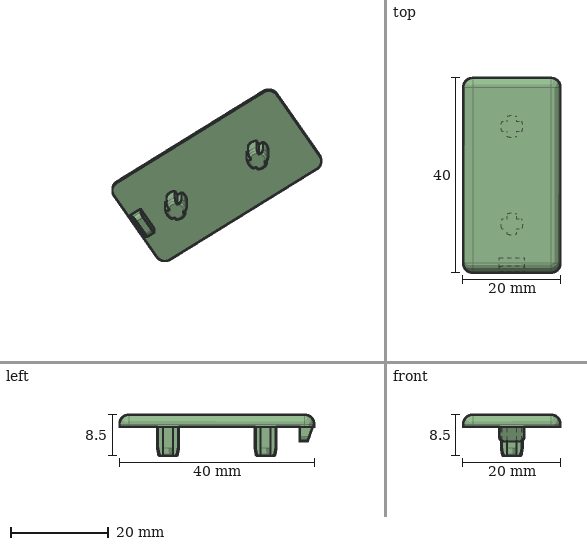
import cadquery as cq
import math

PLATE_WIDTH = 20.0
PLATE_LENGTH = 40.0
PLATE_THICKNESS = 2.5
PLATE_ROUNDING = 2.0

PEG_RADIUS = 2.25
PEG_LENGTH = 6.0
PEG_ARM_WIDTH = 2.0
PEG_STRAIGHT_LENGTH = 4.4
PEG_TAPER_ANGLE = 10.0
PEG_TIP_ROUNDING = 0.5
PEG_SPACING = 20.0

HOOK_WIDTH = 5.2
HOOK_HEIGHT = 3.0
HOOK_CORNER_RADIUS = 1.0
HOOK_INNER_Y = -17.0
HOOK_ROOT_DEPTH = 2.7
HOOK_OUTER_SLOPE_ANGLE = 20.0


def make_plate():
    """Slab whose vertical and upper edges share one rounding, giving ball corners."""
    slab = cq.Workplane("XY").box(
        PLATE_WIDTH, PLATE_LENGTH, PLATE_THICKNESS, centered=(True, True, False)
    )
    return slab.edges("|Z or >Z").fillet(PLATE_ROUNDING)


def make_peg():
    """Round peg with a tapered, rounded tip, cut down to four arms."""
    taper_length = PEG_LENGTH - PEG_STRAIGHT_LENGTH
    tip_radius = PEG_RADIUS - taper_length * math.tan(math.radians(PEG_TAPER_ANGLE))
    round_peg = (
        cq.Workplane("XZ")
        .lineTo(PEG_RADIUS, 0)
        .lineTo(PEG_RADIUS, -PEG_STRAIGHT_LENGTH)
        .lineTo(tip_radius, -PEG_LENGTH)
        .lineTo(0, -PEG_LENGTH)
        .close()
        .revolve(360, (0, 0), (0, 1))
        .faces("<Z")
        .edges()
        .fillet(PEG_TIP_ROUNDING)
    )
    peg_diameter = 2 * PEG_RADIUS
    cross = (
        cq.Workplane("XY")
        .rect(peg_diameter, PEG_ARM_WIDTH)
        .extrude(-PEG_LENGTH)
        .union(cq.Workplane("XY").rect(PEG_ARM_WIDTH, peg_diameter).extrude(-PEG_LENGTH))
    )
    return round_peg.intersect(cross)


def make_hook():
    """Lug with an upright inner face, a sloping outer face and rounded lower corners."""
    tip_depth = HOOK_ROOT_DEPTH - HOOK_HEIGHT * math.tan(math.radians(HOOK_OUTER_SLOPE_ANGLE))
    return (
        cq.Workplane("YZ")
        .moveTo(HOOK_INNER_Y, 0)
        .lineTo(HOOK_INNER_Y - HOOK_ROOT_DEPTH, 0)
        .lineTo(HOOK_INNER_Y - tip_depth, -HOOK_HEIGHT)
        .lineTo(HOOK_INNER_Y, -HOOK_HEIGHT)
        .close()
        .extrude(HOOK_WIDTH / 2, both=True)
        .faces("<Z")
        .edges("|Y")
        .fillet(HOOK_CORNER_RADIUS)
    )


result = make_plate().union(make_hook())
for peg_y in (-PEG_SPACING / 2, PEG_SPACING / 2):
    result = result.union(make_peg().translate((0, peg_y, 0)))